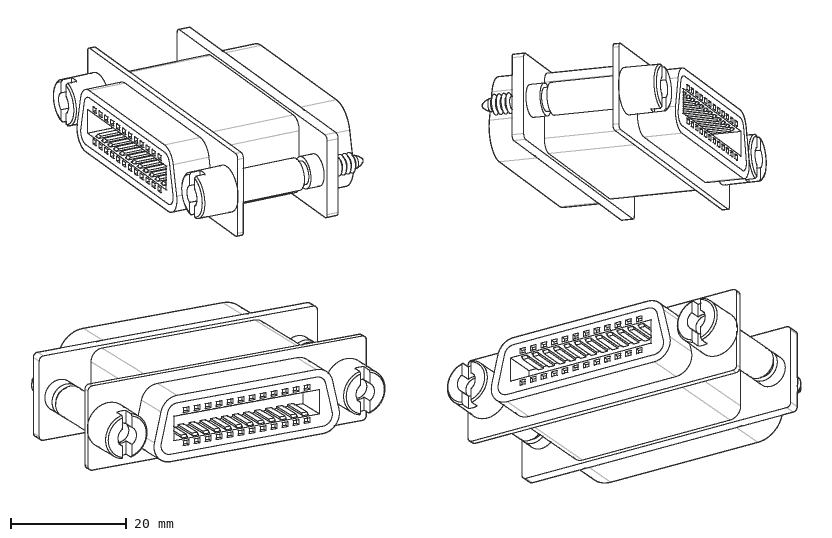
import cadquery as cq


total_width = 55.05
total_length = 33.65
flange_height = 15.45
flange_width = 54.7
flange_corner_radius = 0.8

rim_length = 7.0
front_plate_thickness = 1.1
rear_plate_thickness = 2.15
front_plate_y = rim_length
hood_y = front_plate_y + front_plate_thickness
rear_connector_y = total_length - rim_length
rear_plate_y = rear_connector_y - rear_plate_thickness

upper_corner_x = 13.7
lower_corner_x = 14.95
rear_corner_radius = 5.0
corner_z = flange_height / 2 - rear_corner_radius
front_rim_inset = 1.75
rim_wall = 1.4
front_corner_radius = rear_corner_radius - front_rim_inset
insert_corner_radius = front_corner_radius - rim_wall

hood_width = 34.35
hood_height = 14.35
hood_corner_radius = 2.15

slot_width = 28.6
slot_height = 4.45
slot_depth = 6.0
contact_count = 12
contact_row_length = 23.7
contact_pitch = contact_row_length / (contact_count - 1)
contact_width = 1.1
contact_height = 0.36
contact_setback = 0.55
contact_ramp_length = 0.5
pocket_height = 0.9
pocket_depth = 0.75
pocket_z = 3.0

head_radius = 4.15
head_end_radius = 4.1
head_end_y = 0.15
head_chamfer = 0.35
screw_x = total_width / 2 - head_radius
head_slot_width = 1.8
head_slot_depth = 2.1
head_hole_radius = 1.8
head_hole_depth = 2.75
shaft_radius = 2.85
neck_radius = 2.1
neck_y = 20.65
neck_length = 1.25
thread_core_radius = 1.15
thread_crest_radius = 1.8
thread_pitch = 0.9
thread_count = 4
thread_start_y = 28.1
tip_y = 33.45
tip_length = 1.3
tip_flat_radius = 0.4
tip_bulge_radius = 0.9


def along_y(y):
    """Workplane at a given y, with X and Z as its axes; negative extrusions run toward +Y."""
    return cq.Workplane("XZ", origin=(0, y, 0))


def rounded_block(width, height, corner_radius, y, length):
    return along_y(y).rect(width, height).extrude(-length).edges("|Y").fillet(corner_radius)


def trapezoid_block(corner_radius, y, length):
    """Trapezoid prism, wider at the bottom, whose outline runs corner_radius outside the corner centres."""
    corner_centres = [
        (-upper_corner_x, corner_z),
        (upper_corner_x, corner_z),
        (lower_corner_x, -corner_z),
        (-lower_corner_x, -corner_z),
    ]
    return along_y(y).polyline(corner_centres).close().offset2D(corner_radius).extrude(-length)


def screw_holes(radius, y, length):
    return along_y(y).pushPoints([(-screw_x, 0), (screw_x, 0)]).circle(radius).extrude(-length)


def flange_plate(y, thickness, hole_radius):
    plate = rounded_block(flange_width, flange_height, flange_corner_radius, y, thickness)
    return plate.cut(screw_holes(hole_radius, y, thickness))


def make_front_shell():
    """Front plate and rim in one piece, open through the middle for the insert."""
    plate = flange_plate(front_plate_y, front_plate_thickness, shaft_radius)
    rim = trapezoid_block(front_corner_radius, 0, rim_length)
    opening = trapezoid_block(insert_corner_radius, 0, hood_y)
    return plate.union(rim).cut(opening)


def make_contact(x, side):
    """Contact strip on the slot wall; side is +1 for the upper wall, -1 for the lower wall."""
    wall_z = side * slot_height / 2
    crest_z = wall_z - side * contact_height
    profile = [
        (contact_setback, wall_z),
        (contact_setback + contact_ramp_length, crest_z),
        (slot_depth, crest_z),
        (slot_depth, wall_z),
    ]
    start = cq.Workplane("YZ", origin=(x - contact_width / 2, 0, 0))
    return start.polyline(profile).close().extrude(contact_width)


def make_front_insert():
    """Insert that fills the front shell, with a slot, two rows of contacts and a pocket beside each one."""
    insert = trapezoid_block(insert_corner_radius, 0, hood_y)
    insert = insert.cut(along_y(0).rect(slot_width, slot_height).extrude(-slot_depth))
    for index in range(contact_count):
        x = (index - (contact_count - 1) / 2) * contact_pitch
        for side in (1, -1):
            pocket = along_y(0).center(x, side * pocket_z).rect(contact_width, pocket_height)
            insert = insert.cut(pocket.extrude(-pocket_depth))
            insert = insert.union(make_contact(x, side))
    return insert


def make_hood():
    return rounded_block(hood_width, hood_height, hood_corner_radius, hood_y, rear_plate_y - hood_y)


def make_rear_plate():
    return flange_plate(rear_plate_y, rear_plate_thickness, thread_core_radius)


def make_rear_connector():
    return trapezoid_block(rear_corner_radius, rear_connector_y, rim_length)


def make_jackscrew(x):
    """Slotted screw: head, shaft with a neck, shank through the rear plate, ridged thread and blunt tip."""
    profile = (
        cq.Workplane("XY")
        .moveTo(0, head_end_y)
        .lineTo(head_end_radius - head_chamfer, head_end_y)
        .lineTo(head_end_radius, head_end_y + head_chamfer)
        .lineTo(head_radius, front_plate_y)
        .lineTo(shaft_radius, front_plate_y)
        .lineTo(shaft_radius, neck_y)
        .lineTo(neck_radius, neck_y)
        .lineTo(neck_radius, neck_y + neck_length)
        .lineTo(shaft_radius, neck_y + neck_length)
        .lineTo(shaft_radius, rear_plate_y)
        .lineTo(thread_core_radius, rear_plate_y)
        .lineTo(thread_core_radius, thread_start_y)
    )
    for turn in range(thread_count):
        ridge_y = thread_start_y + turn * thread_pitch
        profile = profile.lineTo(thread_crest_radius, ridge_y + thread_pitch / 2)
        profile = profile.lineTo(thread_core_radius, ridge_y + thread_pitch)
    profile = (
        profile.lineTo(thread_core_radius, tip_y - tip_length)
        .threePointArc((tip_bulge_radius, tip_y - tip_length / 2), (tip_flat_radius, tip_y))
        .lineTo(0, tip_y)
        .close()
    )
    screw = profile.revolve(360, (0, 0, 0), (0, 1, 0))
    slot = along_y(head_end_y).rect(head_slot_width, 2 * head_radius).extrude(-head_slot_depth)
    hole = along_y(head_end_y).circle(head_hole_radius).extrude(-head_hole_depth)
    return screw.cut(slot).cut(hole).translate((x, 0, 0))


front_shell = make_front_shell()
front_insert = make_front_insert()
hood = make_hood()
rear_plate = make_rear_plate()
rear_connector = make_rear_connector()
jackscrews = [make_jackscrew(x).val() for x in (-screw_x, screw_x)]

result = cq.Compound.makeCompound(
    [
        front_shell.val(),
        front_insert.val(),
        hood.val(),
        rear_plate.val(),
        rear_connector.val(),
        *jackscrews,
    ]
)